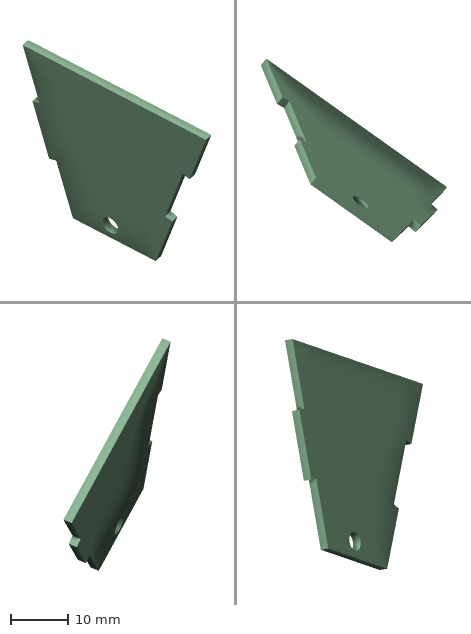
import cadquery as cq
import math

top_width = 40.0
bottom_width = 18.06
height = 35.41
thickness = 1.6

joint_depth = thickness
finger_clearance = 0.3

hole_diameter = 3.4
hole_x = -0.85
hole_height = 2.92

edge_run = (top_width - bottom_width) / 2
edge_length = math.hypot(edge_run, height)
tab_start = edge_length / 3
tab_end = 2 * edge_length / 3
notch_start = tab_start - finger_clearance
notch_end = tab_end + finger_clearance


def edge_point(side, distance, outward=0.0):
    """Point on a sloped edge (side -1 left, +1 right), offset square to the edge."""
    slope_x = edge_run / edge_length
    slope_z = height / edge_length
    x = top_width / 2 - distance * slope_x + outward * slope_z
    z = height - distance * slope_z - outward * slope_x
    return (side * x, z)


def jointed_edge(side, start, end, outward):
    """Sloped edge from top to bottom, stepped by `outward` between start and end."""
    return [
        edge_point(side, 0),
        edge_point(side, start),
        edge_point(side, start, outward),
        edge_point(side, end, outward),
        edge_point(side, end),
        edge_point(side, edge_length),
    ]


def make_plate():
    """Plate with a tab on the left edge and a matching notch on the right edge."""
    left_edge = jointed_edge(-1, tab_start, tab_end, joint_depth)
    right_edge = jointed_edge(1, notch_start, notch_end, -joint_depth)
    outline = left_edge + right_edge[::-1]
    return cq.Workplane("XZ").polyline(outline).close().extrude(thickness / 2, both=True)


def make_hole():
    """Cylinder through the full plate thickness."""
    return (
        cq.Workplane("XZ")
        .center(hole_x, hole_height)
        .circle(hole_diameter / 2)
        .extrude(thickness, both=True)
    )


result = make_plate().cut(make_hole())